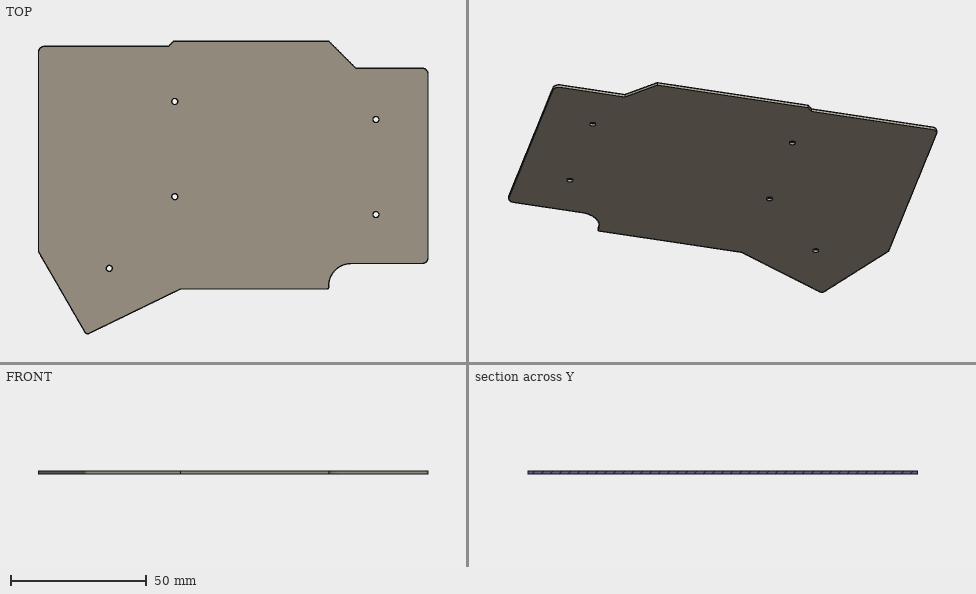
import cadquery as cq
import math

length = 143.6
width = 107.9
thickness = 1.2

left_top_y = 106.0
step_end_x = 49.8
slope_start_x = 107.0
tab_top_y = 98.0

tab_bottom_y = 25.9
cove_x = 107.0
cove_radius = 8.2
lower_edge_y = 16.5
lower_edge_start_x = 52.4
left_edge_bottom_y = 30.3
left_slope_angle = 60.0

corner_radius = 2.3
point_radius = 1.1
cove_tip_radius = 0.6

hole_diameter = 2.2
hole_pitch = 35.0
left_pair = (50.3, 50.5)
right_pair = (124.4, 44.0)
single_hole = (26.1, 24.1)


def pointed_corner():
    """Sharp corner whose rounding is tangent to y = 0 and to the left sloping edge.

    The rounding centre is one radius above y = 0 and one radius inside the left slope;
    the lower right slope runs from the start of the flat lower edge, tangent to the rounding.
    """
    slope = math.radians(left_slope_angle)
    centre_y = point_radius
    centre_x = (left_edge_bottom_y - centre_y) / math.tan(slope) + point_radius / math.sin(slope)

    dx = lower_edge_start_x - centre_x
    dy = lower_edge_y - centre_y
    right_angle = math.atan2(dy, dx) + math.asin(point_radius / math.hypot(dx, dy))

    rise = math.tan(right_angle)
    fall = math.tan(slope)
    x = (left_edge_bottom_y - lower_edge_y + rise * lower_edge_start_x) / (fall + rise)
    return x, left_edge_bottom_y - fall * x


def plate():
    step_start_x = step_end_x - (width - left_top_y)
    slope_end_x = slope_start_x + (width - tab_top_y)
    cove_mid_offset = cove_radius * (1 - math.sqrt(0.5))
    tip = pointed_corner()
    body = (
        cq.Workplane("XY")
        .moveTo(0, left_top_y)
        .lineTo(step_start_x, left_top_y)
        .lineTo(step_end_x, width)
        .lineTo(slope_start_x, width)
        .lineTo(slope_end_x, tab_top_y)
        .lineTo(length, tab_top_y)
        .lineTo(length, tab_bottom_y)
        .lineTo(cove_x + cove_radius, tab_bottom_y)
        .threePointArc(
            (cove_x + cove_mid_offset, tab_bottom_y - cove_mid_offset),
            (cove_x, tab_bottom_y - cove_radius),
        )
        .lineTo(cove_x, lower_edge_y)
        .lineTo(lower_edge_start_x, lower_edge_y)
        .lineTo(*tip)
        .lineTo(0, left_edge_bottom_y)
        .close()
        .extrude(thickness)
    )
    rounded_corners = [
        (0, left_top_y, corner_radius),
        (length, tab_top_y, corner_radius),
        (length, tab_bottom_y, corner_radius),
        (*tip, point_radius),
        (cove_x, lower_edge_y, cove_tip_radius),
    ]
    for x, y, radius in rounded_corners:
        corner = cq.selectors.NearestToPointSelector((x, y, thickness / 2))
        body = body.edges("|Z").edges(corner).fillet(radius)
    return body


def hole_centres():
    centres = [single_hole]
    for x, y in (left_pair, right_pair):
        centres += [(x, y), (x, y + hole_pitch)]
    return centres


holes = cq.Workplane("XY").pushPoints(hole_centres()).circle(hole_diameter / 2).extrude(thickness)
result = plate().cut(holes)